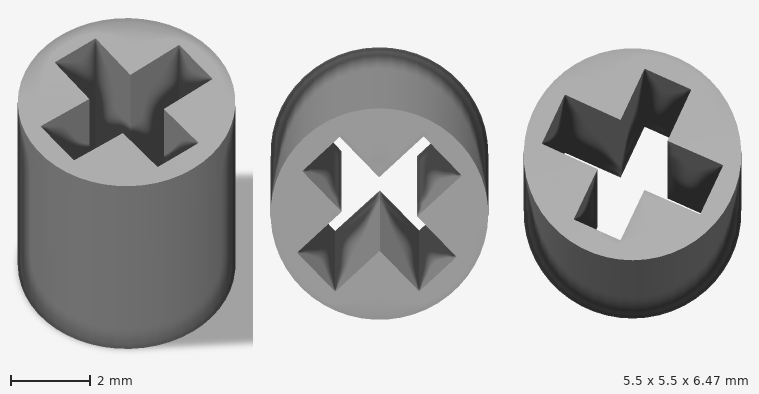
import cadquery as cq

body_diameter = 5.5
body_height = 6.47

dish_depth = 0.11

x_slot_length = 4.3
x_slot_width = 1.3
y_slot_length = 4.4
y_slot_width = 1.4


def make_body():
    """Cylinder standing on the XY plane, its top dished from the rim to the axis."""
    radius = body_diameter / 2
    half_section = [
        (0, 0),
        (radius, 0),
        (radius, body_height),
        (0, body_height - dish_depth),
    ]
    return cq.Workplane("XZ").polyline(half_section).close().revolve(360, (0, 0), (0, 1))


def make_slot(size_x, size_y):
    """Rectangular cutter, centred on the axis, as tall as the body."""
    return cq.Workplane("XY").rect(size_x, size_y).extrude(body_height)


x_slot = make_slot(x_slot_length, x_slot_width)
y_slot = make_slot(y_slot_width, y_slot_length)
cross = x_slot.union(y_slot)

result = make_body().cut(cross)